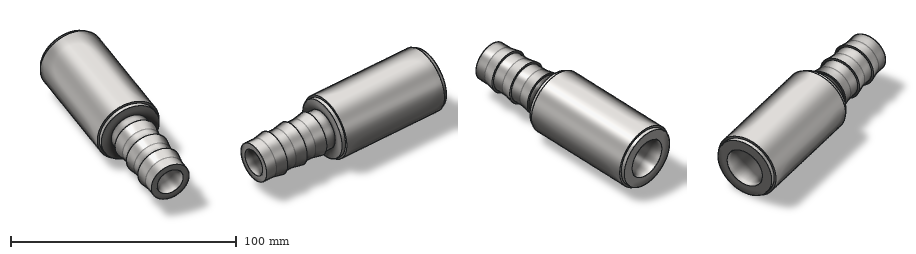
import cadquery as cq

overall_length = 96.0

body_length = 58.0
body_diameter = 31.0
collar_length = 1.9
collar_diameter = 29.0

stem_diameter = 19.0
barb_diameter = 21.0
barb_count = 3

socket_diameter = 19.0
socket_depth = body_length / 2
bore_diameter = 13.0

stretch_count = 2 * barb_count + 1
stretch_length = (overall_length - body_length) / stretch_count
part_start = -overall_length / 2
stem_start = part_start + body_length


def cylinder(start, length, diameter):
    """Solid cylinder along +X from the given start."""
    return cq.Workplane("YZ", origin=(start, 0, 0)).circle(diameter / 2).extrude(length)


def barb(start):
    """Solid cone that starts with a sharp edge and tapers to the stem toward +X."""
    profile = [
        (start, 0),
        (start, barb_diameter / 2),
        (start + stretch_length, stem_diameter / 2),
        (start + stretch_length, 0),
    ]
    return cq.Workplane("XZ").polyline(profile).close().revolve(360, (0, 0, 0), (1, 0, 0))


collars = cylinder(part_start, body_length, collar_diameter)
sleeve = cylinder(part_start + collar_length, body_length - 2 * collar_length, body_diameter)
stem = cylinder(stem_start, overall_length - body_length, stem_diameter)
result = collars.union(sleeve).union(stem)

for index in range(barb_count):
    result = result.union(barb(stem_start + (2 * index + 1) * stretch_length))

result = result.cut(cylinder(part_start, socket_depth, socket_diameter))
result = result.cut(cylinder(part_start, overall_length, bore_diameter))